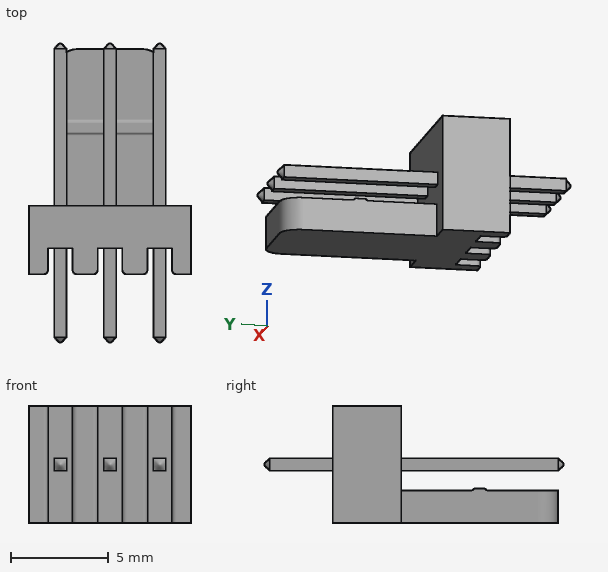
import cadquery as cq

PIN_COUNT = 3
PIN_PITCH = 2.54
PIN_WIDTH = 0.65
PIN_LENGTH = 15.3
PIN_TIP_LENGTH = 0.29

HOUSING_WIDTH = 8.3
HOUSING_HEIGHT = 6.0
HOUSING_FRONT = -4.16
HOUSING_BACK = -0.65

NOTCH_WIDTH = 1.24
NOTCH_DEPTH = 1.33
NOTCH_EDGE_RADIUS = 0.25

TONGUE_WIDTH = 5.39
TONGUE_THICKNESS = 1.68
TONGUE_CORNER_RADIUS = 1.03

RIDGE_CENTER = 3.35
RIDGE_TOP_WIDTH = 0.46
RIDGE_HEIGHT = 0.09
RIDGE_FLANK_WIDTH = 0.18

pin_shoulder = PIN_LENGTH / 2 - PIN_TIP_LENGTH
housing_bottom = -HOUSING_HEIGHT / 2
tongue_top = housing_bottom + TONGUE_THICKNESS
pin_positions = [(i - (PIN_COUNT - 1) / 2) * PIN_PITCH for i in range(PIN_COUNT)]


def block(width, y_start, y_end, z_bottom, height):
    """Box centred on X, spanning the given Y and Z ranges."""
    return (
        cq.Workplane("XY")
        .box(width, y_end - y_start, height, centered=(True, False, False))
        .translate((0, y_start, z_bottom))
    )


def make_notch_cutter(x):
    """Full-height notch around a pin, flaring at its mouth to round the feet."""
    half_width = NOTCH_WIDTH / 2
    radius = NOTCH_EDGE_RADIUS
    bottom = HOUSING_FRONT + NOTCH_DEPTH
    return (
        cq.Workplane("XY", origin=(x, 0, housing_bottom))
        .moveTo(-half_width, bottom)
        .lineTo(half_width, bottom)
        .lineTo(half_width, HOUSING_FRONT + radius)
        .radiusArc((half_width + radius, HOUSING_FRONT), -radius)
        .lineTo(-half_width - radius, HOUSING_FRONT)
        .radiusArc((-half_width, HOUSING_FRONT + radius), -radius)
        .close()
        .extrude(HOUSING_HEIGHT)
    )


def make_housing():
    housing = block(HOUSING_WIDTH, HOUSING_FRONT, HOUSING_BACK, housing_bottom, HOUSING_HEIGHT)
    for x in pin_positions:
        housing = housing.cut(make_notch_cutter(x))
    return housing


def make_tongue():
    """Locking tongue, level with the housing bottom, with rounded free corners."""
    tongue = block(TONGUE_WIDTH, HOUSING_BACK, pin_shoulder, housing_bottom, TONGUE_THICKNESS)
    return tongue.edges("|Z and >Y").fillet(TONGUE_CORNER_RADIUS)


def make_ridge():
    """Low locking ridge across the tongue, with S-curved flanks."""
    half_top = RIDGE_TOP_WIDTH / 2
    half_middle = half_top + RIDGE_FLANK_WIDTH / 2
    half_base = half_top + RIDGE_FLANK_WIDTH
    middle = RIDGE_HEIGHT / 2
    radius = ((RIDGE_FLANK_WIDTH / 2) ** 2 + middle**2) / (2 * middle)
    return (
        cq.Workplane("YZ", origin=(-TONGUE_WIDTH / 2, RIDGE_CENTER, tongue_top))
        .moveTo(-half_base, 0)
        .radiusArc((-half_middle, middle), -radius)
        .radiusArc((-half_top, RIDGE_HEIGHT), radius)
        .lineTo(half_top, RIDGE_HEIGHT)
        .radiusArc((half_middle, middle), radius)
        .radiusArc((half_base, 0), -radius)
        .close()
        .extrude(TONGUE_WIDTH)
    )


def make_dome(end_face, direction):
    """Smooth domed surface over a square end face of the pin on the Y axis."""
    apex = cq.Vector(0, direction * PIN_LENGTH / 2, 0)
    return cq.Face.makeNSidedSurface(end_face.Edges(), [apex])


def make_pin(x):
    """Square pin whose two ends are domes, joined to its four flat sides."""
    shank = block(PIN_WIDTH, -pin_shoulder, pin_shoulder, -PIN_WIDTH / 2, PIN_WIDTH)
    sides = shank.faces("not |Y").vals()
    front_dome = make_dome(shank.faces("<Y").val(), -1)
    back_dome = make_dome(shank.faces(">Y").val(), 1)
    shell = cq.Shell.makeShell([*sides, front_dome, back_dome])
    return cq.Workplane("XY").add(cq.Solid.makeSolid(shell)).translate((x, 0, 0))


result = make_housing().union(make_tongue()).union(make_ridge())
for pin_x in pin_positions:
    result = result.union(make_pin(pin_x))